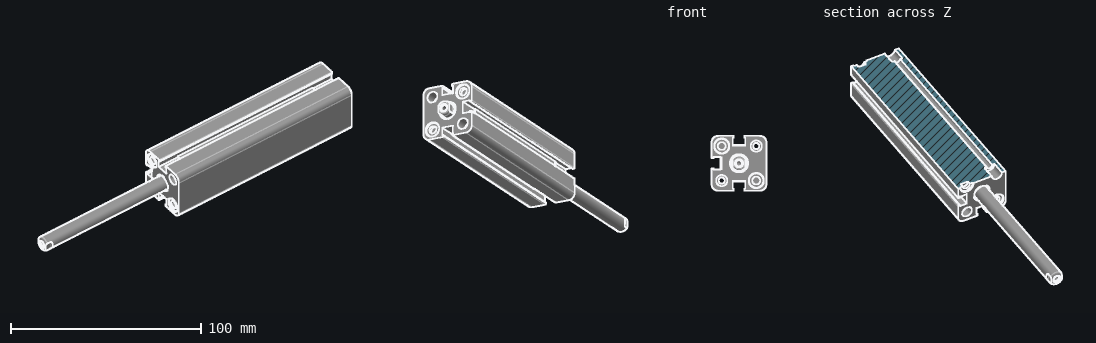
import cadquery as cq
import math

TOTAL_LENGTH = 197.0
BODY_SIZE = 29.0
ROD_EXTENSION = 79.2
REAR_STUB = 4.3
CAP_LENGTH = 12.5
CORNER_RADIUS = 3.5

BODY_FRONT = ROD_EXTENSION
BODY_BACK = TOTAL_LENGTH - REAR_STUB
HALF_SIZE = BODY_SIZE / 2
COS_45 = math.sqrt(0.5)

MOUTH_WIDTH = 5.3
SLOT_WIDTH = 6.5
LIP_THICKNESS = 1.2
LIP_RADIUS = 0.5
CAP_SLOT_DEPTH = 5.3
TUBE_SLOT_DEPTH = 4.7
SLOT_ANGLES = (0, -90, 180)

ROD_DIAMETER = 8.0
ROD_RECESS_DIAMETER = 9.7
ROD_RECESS_DEPTH = 1.0
TIP_RADIUS = 1.2
FLATS_WIDTH = 6.5
FLATS_LENGTH = 3.3
FLATS_RUNOUT_RADIUS = 0.89
ROD_HOLE_DIAMETER = 3.2
ROD_HOLE_DEPTH = 7.9
ROD_HOLE_POINT = 1.0
COUNTERSINK_DIAMETER = 4.3

HOLE_OFFSET = 9.0
HOLE_DIAMETER = 3.2
WIDE_HOLE_DIAMETER = 6.0
WIDE_HOLE_DEPTH = 7.9
SCREW_SEAT_DIAMETER = 8.0
SCREW_HEAD_DIAMETER = 7.5
SCREW_SEAT_DEPTH = 0.5
SOCKET_DIAMETER = 4.1
SOCKET_DEPTH = 2.0


def box(width, height, start, end, z_bottom):
    """Box centred on X = 0, resting on a Z level, between two Y positions."""
    block = cq.Workplane("XY").box(width, end - start, height, centered=(True, False, False))
    return block.translate((0, start, z_bottom))


def turned(half_profile):
    """Solid of revolution about Y from (radius, y) points."""
    return cq.Workplane("XY").polyline(half_profile).close().revolve(360, (0, 0, 0), (0, 1, 0))


def cylinder(diameter, start, end):
    """Cylinder on the Y axis between two Y positions."""
    radius = diameter / 2
    return turned([(0, start), (radius, start), (radius, end), (0, end)])


def mirrored_ends(tool, front, back):
    """The tool together with its mirror image about the plane midway between two Y positions."""
    return tool.union(tool.mirror("XZ").translate((0, front + back, 0)))


def body_blank():
    """Square bar with rounded long edges."""
    bar = box(BODY_SIZE, BODY_SIZE, BODY_FRONT, BODY_BACK, -HALF_SIZE)
    return bar.edges("|Y").fillet(CORNER_RADIUS)


def slot_outline(depth):
    """Cross-section of a top-side slot: rounded mouth between two lips, wider channel below."""
    mouth = MOUTH_WIDTH / 2
    channel = SLOT_WIDTH / 2
    lip_bottom = HALF_SIZE - LIP_THICKNESS
    lip_top = HALF_SIZE - LIP_RADIUS
    floor = HALF_SIZE - depth
    bend = LIP_RADIUS * (1 - COS_45)
    return (
        cq.Workplane("XZ")
        .moveTo(-channel, floor)
        .lineTo(channel, floor)
        .lineTo(channel, lip_bottom)
        .lineTo(mouth, lip_bottom)
        .lineTo(mouth, lip_top)
        .threePointArc((mouth + bend, HALF_SIZE - bend), (mouth + LIP_RADIUS, HALF_SIZE))
        .lineTo(-mouth - LIP_RADIUS, HALF_SIZE)
        .threePointArc((-mouth - bend, HALF_SIZE - bend), (-mouth, lip_top))
        .lineTo(-mouth, lip_bottom)
        .lineTo(-channel, lip_bottom)
        .close()
    )


def slot(depth, start, end):
    """Slot in the top side between two Y positions."""
    return slot_outline(depth).extrude(start - end).translate((0, start, 0))


def stepped_slot():
    """Full-length slot, deeper through the end caps than through the tube."""
    cap_slot = slot(CAP_SLOT_DEPTH, BODY_FRONT, BODY_FRONT + CAP_LENGTH)
    return slot(TUBE_SLOT_DEPTH, BODY_FRONT, BODY_BACK).union(mirrored_ends(cap_slot, BODY_FRONT, BODY_BACK))


def through_hole():
    """Hole through the whole body, widened at both ends."""
    wide_end = cylinder(WIDE_HOLE_DIAMETER, BODY_FRONT, BODY_FRONT + WIDE_HOLE_DEPTH)
    return cylinder(HOLE_DIAMETER, BODY_FRONT, BODY_BACK).union(mirrored_ends(wide_end, BODY_FRONT, BODY_BACK))


def screw_recesses():
    """Tapered screw seat with a round socket, at both ends of the body."""
    head_level = BODY_FRONT + SCREW_SEAT_DEPTH
    socket_bottom = head_level + SOCKET_DEPTH
    recess = turned([
        (0, BODY_FRONT),
        (SCREW_SEAT_DIAMETER / 2, BODY_FRONT),
        (SCREW_HEAD_DIAMETER / 2, head_level),
        (SOCKET_DIAMETER / 2, head_level),
        (SOCKET_DIAMETER / 2, socket_bottom),
        (0, socket_bottom),
    ])
    return mirrored_ends(recess, BODY_FRONT, BODY_BACK)


def flat_cutter():
    """Cutter for the front wrench flat on +X, whose end runs out along an arc."""
    flat = FLATS_WIDTH / 2
    clearance = flat + FLATS_RUNOUT_RADIUS
    bend = FLATS_RUNOUT_RADIUS * COS_45
    outline = (
        cq.Workplane("XY")
        .moveTo(flat, 0)
        .lineTo(flat, FLATS_LENGTH)
        .threePointArc(
            (clearance - bend, FLATS_LENGTH + bend),
            (clearance, FLATS_LENGTH + FLATS_RUNOUT_RADIUS),
        )
        .lineTo(clearance, 0)
        .close()
    )
    return outline.extrude(ROD_DIAMETER / 2, both=True)


def rod_hole():
    """Countersunk blind hole with a conical bottom, in the front tip of the rod."""
    radius = ROD_HOLE_DIAMETER / 2
    rim = COUNTERSINK_DIAMETER / 2
    return turned([
        (0, 0),
        (rim, 0),
        (radius, rim - radius),
        (radius, ROD_HOLE_DEPTH),
        (0, ROD_HOLE_DEPTH + ROD_HOLE_POINT),
    ])


def rod():
    """Rod through the whole body, both tips rounded, flattened and drilled alike."""
    shaft = cylinder(ROD_DIAMETER, 0, TOTAL_LENGTH).faces("<Y or >Y").edges().fillet(TIP_RADIUS)
    flats = flat_cutter().union(flat_cutter().mirror("YZ"))
    return shaft.cut(mirrored_ends(flats, 0, TOTAL_LENGTH)).cut(mirrored_ends(rod_hole(), 0, TOTAL_LENGTH))


body = body_blank()
for angle in SLOT_ANGLES:
    body = body.cut(stepped_slot().rotate((0, 0, 0), (0, 1, 0), angle))

for corner in (HOLE_OFFSET, -HOLE_OFFSET):
    body = body.cut(through_hole().translate((corner, 0, corner)))
    body = body.cut(screw_recesses().translate((-corner, 0, corner)))

rod_recess = cylinder(ROD_RECESS_DIAMETER, BODY_FRONT, BODY_FRONT + ROD_RECESS_DEPTH)
body = body.cut(mirrored_ends(rod_recess, BODY_FRONT, BODY_BACK))

result = body.union(rod())